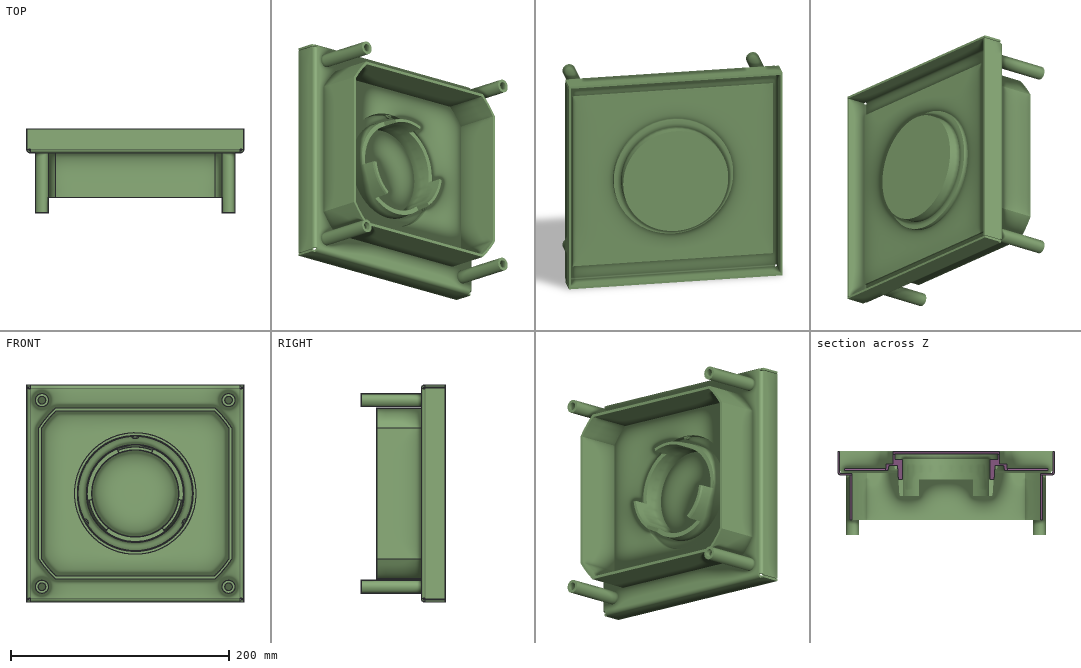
import cadquery as cq
import math

tray_side = 199.0
tray_depth = 22.0
sheet = 2.0
bend_radius = 3.4
corner_gap = 0.5

frame_width = 177.0
frame_height = 156.4
frame_depth = 41.0
frame_wall = 2.5
frame_corner_x = 15.2
frame_corner_z = 18.2
frame_corner_bulge = 0.7
inner_corner_x = 13.6
inner_corner_z = 16.1

pillar_pitch = 171.0
pillar_radius = 6.0
pillar_bore_radius = 3.5
pillar_length = 55.0

panel_front = 4.5
panel_thickness = 2.0
panel_margin = 5.0
panel_width = frame_width + 2 * panel_margin
panel_height = frame_height + 2 * panel_margin

rim_radius = 55.7
groove_top_radius = 53.2
groove_floor_radius = 52.4
groove_floor = 8.8
groove_floor_thickness = 2.0
collar_base_radius = 44.9
collar_front = -4.0
bore_back = 15.0
bore_front_radius = 40.0
bore_back_radius = 39.8
seat_wall = 2.0
seat_radius = 47.0
housing_radius = seat_radius + seat_wall

tab_count = 3
first_tab_angle = 90.0
tab_half_angle = 22.0
tab_front = -19.1
tab_bevel_length = 1.8
tab_bevel_depth = 0.6
tab_bevel_start = tab_front + tab_bevel_length
tab_end_radius = 43.2

outer_taper = (collar_base_radius - tab_end_radius) / (groove_floor - tab_bevel_start)
collar_front_radius = collar_base_radius - outer_taper * (groove_floor - collar_front)

boss_circle_radius = 54.3
boss_radius = 4.0
boss_height = 2.0
boss_step_radius = 2.7
boss_step_height = 1.0

cover_front = 19.6
cover_back = tray_depth


def along_y(y):
    """Sketch plane at position y whose local axes are X and Z and whose extrusions run toward -Y."""
    return cq.Workplane("XZ", origin=(0, y, 0))


def eight_sided(y, width, height, corner_x, corner_z):
    """Rectangle whose corners are replaced by shallow arcs bowed outward."""
    half_w = width / 2
    half_h = height / 2
    chord = math.hypot(corner_x, corner_z)
    bow_x = half_w - corner_x / 2 + frame_corner_bulge * corner_z / chord
    bow_z = half_h - corner_z / 2 + frame_corner_bulge * corner_x / chord
    return (
        along_y(y)
        .moveTo(half_w - corner_x, half_h)
        .threePointArc((bow_x, bow_z), (half_w, half_h - corner_z))
        .lineTo(half_w, corner_z - half_h)
        .threePointArc((bow_x, -bow_z), (half_w - corner_x, -half_h))
        .lineTo(corner_x - half_w, -half_h)
        .threePointArc((-bow_x, -bow_z), (-half_w, corner_z - half_h))
        .lineTo(-half_w, half_h - corner_z)
        .threePointArc((-bow_x, bow_z), (corner_x - half_w, half_h))
        .close()
    )


def frame_opening(y):
    inner_width = frame_width - 2 * frame_wall
    inner_height = frame_height - 2 * frame_wall
    return eight_sided(y, inner_width, inner_height, inner_corner_x, inner_corner_z)


def make_tray():
    half = tray_side / 2
    inner_side = tray_side - 2 * sheet
    tray = along_y(tray_depth).rect(tray_side, tray_side).extrude(tray_depth)
    tray = tray.faces("<Y").edges().fillet(bend_radius)
    hollow = along_y(tray_depth).rect(inner_side, inner_side).extrude(tray_depth - sheet)
    hollow = hollow.faces("<Y").edges().fillet(bend_radius - sheet)
    tray = tray.cut(hollow)
    tray = tray.cut(frame_opening(sheet).extrude(sheet))

    relief_side = 2 * bend_radius
    relief = cq.Workplane("XY").box(relief_side, relief_side, relief_side)
    slit = cq.Workplane("XY").box(relief_side, 2 * tray_depth, corner_gap)
    slit_z = half - sheet - corner_gap / 2
    for side_x in (-1, 1):
        for side_z in (-1, 1):
            tray = tray.cut(relief.translate((side_x * half, 0, side_z * half)))
            tray = tray.cut(slit.translate((side_x * half, 0, side_z * slit_z)))
    return tray


def make_frame():
    outer = eight_sided(0, frame_width, frame_height, frame_corner_x, frame_corner_z).extrude(frame_depth)
    return outer.cut(frame_opening(0).extrude(frame_depth))


def make_pillars():
    return (
        along_y(0)
        .rect(pillar_pitch, pillar_pitch, forConstruction=True)
        .vertices()
        .circle(pillar_radius)
        .circle(pillar_bore_radius)
        .extrude(pillar_length)
    )


def make_panel():
    return (
        along_y(panel_front + panel_thickness)
        .rect(panel_width, panel_height)
        .circle(rim_radius)
        .extrude(panel_thickness)
    )


def around_axis(shape, step):
    """Turn a shape built on +X to the place of tab number step."""
    return shape.rotate((0, 0, 0), (0, 1, 0), -(first_tab_angle + step * 360 / tab_count))


def make_tab():
    return (
        cq.Workplane("XY")
        .moveTo(bore_front_radius, collar_front)
        .lineTo(bore_front_radius, tab_front)
        .lineTo(tab_end_radius - tab_bevel_depth, tab_front)
        .lineTo(tab_end_radius, tab_bevel_start)
        .lineTo(collar_front_radius, collar_front)
        .close()
        .revolve(2 * tab_half_angle, (0, 0, 0), (0, 1, 0))
        .rotate((0, 0, 0), (0, 1, 0), -tab_half_angle)
    )


def make_boss():
    boss = (
        along_y(groove_floor)
        .center(boss_circle_radius, 0)
        .circle(boss_radius)
        .extrude(boss_height)
        .faces("<Y")
        .workplane()
        .circle(boss_step_radius)
        .extrude(boss_step_height)
    )
    within_rim = along_y(groove_floor).circle(rim_radius).extrude(groove_floor - panel_front)
    return boss.intersect(within_rim)


def make_cup():
    groove_back = groove_floor + groove_floor_thickness
    cup = (
        cq.Workplane("XY")
        .moveTo(bore_back_radius, bore_back)
        .lineTo(bore_front_radius, collar_front)
        .lineTo(collar_front_radius, collar_front)
        .lineTo(collar_base_radius, groove_floor)
        .lineTo(groove_floor_radius, groove_floor)
        .lineTo(groove_top_radius, panel_front)
        .lineTo(rim_radius, panel_front)
        .lineTo(rim_radius, groove_back)
        .lineTo(housing_radius, groove_back)
        .lineTo(housing_radius, cover_front)
        .lineTo(seat_radius, cover_front)
        .lineTo(seat_radius, bore_back)
        .close()
        .revolve(360, (0, 0, 0), (0, 1, 0))
    )
    tab = make_tab()
    boss = make_boss()
    for step in range(tab_count):
        cup = cup.union(around_axis(tab, step))
        cup = cup.union(around_axis(boss, step))
    return cup


def make_cover():
    return along_y(cover_back).circle(housing_radius).extrude(cover_back - cover_front)


tray = make_tray()
frame = make_frame()
pillars = make_pillars()
panel = make_panel()
cup = make_cup()
cover = make_cover()

result = cq.Compound.makeCompound(
    [tray.val(), frame.val(), *pillars.vals(), panel.val(), cup.val(), cover.val()]
)